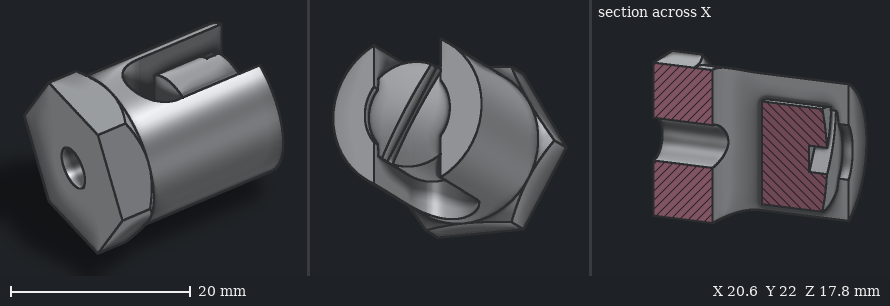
import cadquery as cq
import math

hex_across_flats = 17.8
hex_across_corners = hex_across_flats / math.cos(math.radians(30))
flange_height = 5.0

housing_length = 22.0
barrel_radius = hex_across_flats / 2

slot_width = 8.0
slot_floor_y = 7.2
slot_round_center_y = slot_floor_y + slot_width / 2

front_hole_diameter = 4.9
rear_bore_diameter = 10.2
seat_y = 13.2

plug_radius = 6.0
plug_rim_height = 7.4
dome_rise = 0.6
plug_height = plug_rim_height + dome_rise
driver_slot_width = 1.5
driver_slot_depth = 2.2
driver_slot_angle = 120.0


def disc(radius, start_y, end_y):
    """Round cylinder along the Y axis."""
    return cq.Workplane("ZX", origin=(0, start_y, 0)).circle(radius).extrude(end_y - start_y)


def make_flange():
    """Hexagon with corners on the X axis, its rear corners cut back by a 45 degree cone."""
    corner_radius = hex_across_corners / 2
    cone_start_y = flange_height - (corner_radius - barrel_radius)
    hexagon = (
        cq.Workplane("XZ")
        .polygon(6, hex_across_corners)
        .extrude(-flange_height)
    )
    envelope = (
        cq.Workplane("XY")
        .moveTo(0, 0)
        .lineTo(corner_radius, 0)
        .lineTo(corner_radius, cone_start_y)
        .lineTo(barrel_radius, flange_height)
        .lineTo(0, flange_height)
        .close()
        .revolve(360, (0, 0), (0, 1))
    )
    return hexagon.intersect(envelope)


def make_cross_slot():
    """Round-bottomed slot running through the barrel along Z."""
    half_width = slot_width / 2
    return (
        cq.Workplane("XY")
        .moveTo(-half_width, housing_length)
        .lineTo(-half_width, slot_round_center_y)
        .threePointArc((0, slot_floor_y), (half_width, slot_round_center_y))
        .lineTo(half_width, housing_length)
        .close()
        .extrude(barrel_radius, both=True)
    )


def make_plug_blank():
    """Plug without its driver slot: a cylinder on the bore floor, capped by a spherical dome."""
    rim_y = seat_y + plug_rim_height
    top_y = rim_y + dome_rise
    dome_radius = (plug_radius**2 + dome_rise**2) / (2 * dome_rise)
    half_rim = plug_radius / 2
    half_rim_y = top_y - dome_radius + math.sqrt(dome_radius**2 - half_rim**2)
    return (
        cq.Workplane("XY")
        .moveTo(0, seat_y)
        .lineTo(plug_radius, seat_y)
        .lineTo(plug_radius, rim_y)
        .threePointArc((half_rim, half_rim_y), (0, top_y))
        .close()
        .revolve(360, (0, 0), (0, 1))
    )


def make_plug():
    """Plug with the driver slot cut across its dome."""
    slot_middle_y = seat_y + plug_height - driver_slot_depth / 2
    driver_slot = (
        cq.Workplane("XY")
        .box(2 * plug_radius, driver_slot_depth, driver_slot_width)
        .translate((0, slot_middle_y, 0))
        .rotate((0, 0, 0), (0, 1, 0), -driver_slot_angle)
    )
    return make_plug_blank().cut(driver_slot)


def make_housing():
    """Flange and barrel, with the rear bore widened around the plug where its thread bites in."""
    barrel = disc(barrel_radius, flange_height, housing_length)
    front_hole = disc(front_hole_diameter / 2, 0, slot_round_center_y)
    rear_bore = disc(rear_bore_diameter / 2, seat_y, housing_length)
    housing_body = make_flange().union(barrel).cut(make_cross_slot())
    return housing_body.cut(front_hole).cut(rear_bore).cut(make_plug_blank())


housing = make_housing()
plug = make_plug()

result = cq.Compound.makeCompound([housing.val(), plug.val()])